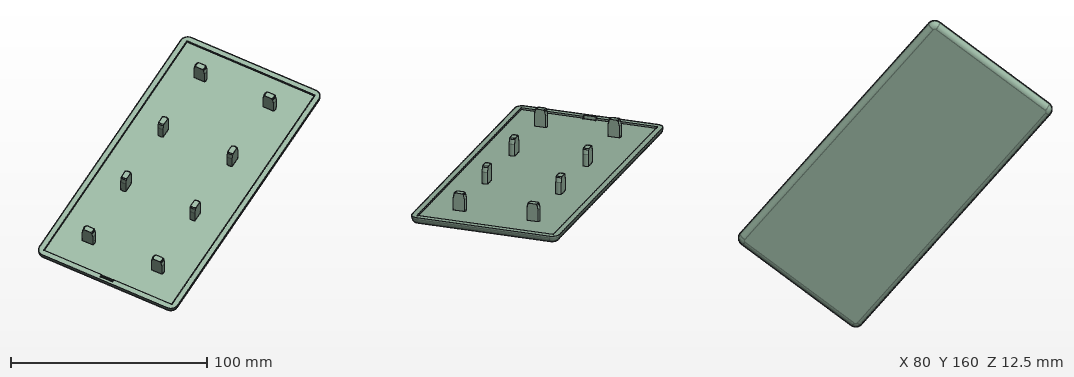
import cadquery as cq

plate_x = 80.0
plate_y = 160.0
plate_height = 4.0
corner_radius = 4.0
bottom_round = 3.0

rim_width = 3.0
tray_depth = 1.0
tray_floor_z = plate_height - tray_depth

slot_length = 7.0
slot_width = 2.0
slot_rim_offset = 1.5
slot_depth = 2.0

total_height = 12.5
post_diameter = 6.8
post_width = 3.0
post_height = total_height - tray_floor_z
taper_height = 3.0
taper_inset = 0.5
tip_chamfer = 0.5
post_spacing = 40.0
post_columns = (-post_spacing / 2, post_spacing / 2)
outer_row = 1.5 * post_spacing
inner_row = 0.5 * post_spacing


def make_plate():
    """Rounded plate with its lower outside edge rounded over."""
    plate = cq.Workplane("XY").box(plate_x, plate_y, plate_height, centered=(True, True, False))
    plate = plate.edges("|Z").fillet(corner_radius)
    return plate.faces("<Z").edges().fillet(bottom_round)


def make_tray():
    """Volume removed to form the tray."""
    tray = cq.Workplane("XY").workplane(offset=tray_floor_z)
    return tray.rect(plate_x - 2 * rim_width, plate_y - 2 * rim_width).extrude(tray_depth)


def make_slot():
    """Volume removed to form the slot in the rim."""
    slot_y = -plate_y / 2 + slot_rim_offset + slot_width / 2
    slot = cq.Workplane("XY").workplane(offset=plate_height - slot_depth)
    return slot.center(0, slot_y).rect(slot_length, slot_width).extrude(slot_depth)


def make_post():
    """Round post with a conical, chamfered tip, flattened on both sides to a slab along X."""
    radius = post_diameter / 2
    neck_radius = radius - taper_inset
    round_post = (
        cq.Workplane("XZ")
        .moveTo(0, 0)
        .lineTo(radius, 0)
        .lineTo(radius, post_height - taper_height)
        .lineTo(neck_radius, post_height - tip_chamfer)
        .lineTo(neck_radius - tip_chamfer, post_height)
        .lineTo(0, post_height)
        .close()
        .revolve(360, (0, 0, 0), (0, 1, 0))
    )
    slab = cq.Workplane("XY").box(post_diameter, post_width, post_height, centered=(True, True, False))
    return round_post.intersect(slab)


result = make_plate().cut(make_tray()).cut(make_slot())
post_along_x = make_post().translate((0, 0, tray_floor_z))
post_along_y = post_along_x.rotate((0, 0, 0), (0, 0, 1), 90)
for x in post_columns:
    for side in (-1, 1):
        result = result.union(post_along_x.translate((x, side * outer_row, 0)))
        result = result.union(post_along_y.translate((x, side * inner_row, 0)))